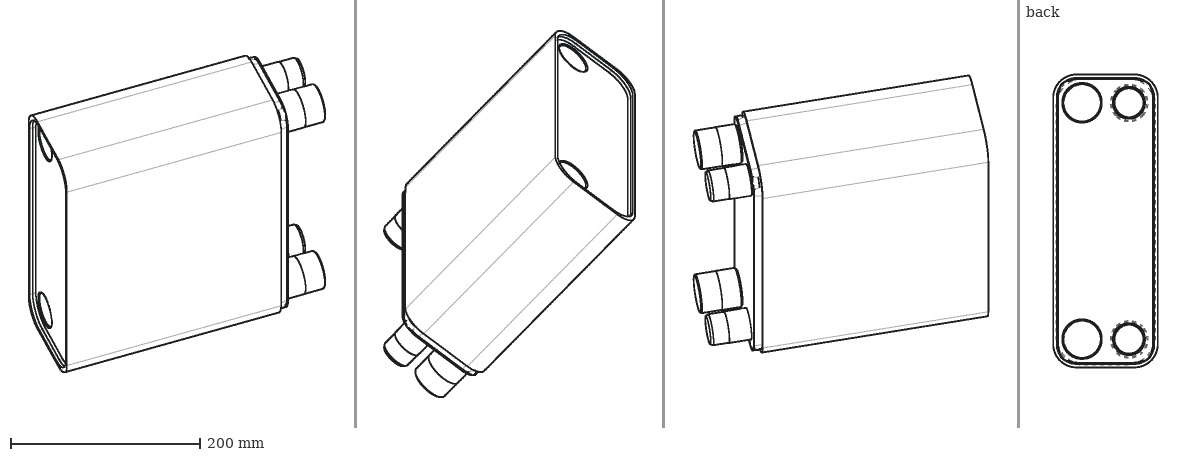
import cadquery as cq

width = 111.0
height = 310.0
housing_depth = 243.5
corner_radius = 25.0

recess_inset = 3.0
recess_radius = 27.5
recess_depth = 9.3
front_cover_setback = 3.5
dish_flare = 1.5
dish_depth = 6.5
dimple_radius = 19.8
dimple_flare = 1.2
dimple_depth = 1.2

back_cover_thickness = 9.3
back_face_y = housing_depth + back_cover_thickness
lip_inset = 3.7
lip_radius = corner_radius - lip_inset
lip_thickness = 1.0
neck_taper_inset = 2.0
pad_setback = 2.2
pad_front_y = housing_depth + pad_setback
pad_front_inset = 6.8
pad_back_inset = 7.0
pad_radius = 9.5

port_x = 24.8
port_z = 125.0
large_port_end_y = 298.0
large_port_shoulder_y = 275.0
large_port_radius = 21.0
large_port_step = 0.15
large_port_end_radius = large_port_radius - large_port_step
large_port_base_chamfer = 2.0
large_port_end_chamfer = 1.2
small_port_end_y = 296.5
small_port_shoulder_y = 276.5
small_port_radius = 17.0
small_port_end_radius = 16.7
small_port_chamfer_radial = 1.5
small_port_chamfer_length = 2.8


def outline(inset, radius):
    """The housing rectangle moved inward by inset, with rounded corners."""
    return cq.Sketch().rect(width - 2 * inset, height - 2 * inset).vertices().fillet(radius)


def slab(inset, radius, start_y, end_y):
    """A straight-sided slab centred on the Y axis, from start_y to end_y."""
    solid = cq.Workplane("XY").placeSketch(outline(inset, radius)).extrude(end_y - start_y)
    return solid.rotate((0, 0, 0), (1, 0, 0), -90).translate((0, start_y, 0))


def tapered_slab(start_outline, start_y, end_outline, end_y):
    """A slab lofted from one outline at start_y to another at end_y."""
    end_location = cq.Location(cq.Vector(0, 0, end_y - start_y))
    solid = cq.Workplane("XY").placeSketch(start_outline, end_outline.moved(end_location)).loft()
    return solid.rotate((0, 0, 0), (1, 0, 0), -90).translate((0, start_y, 0))


def revolved(profile, x, z):
    """Revolve a (radius, y) profile about the line through (x, z) along Y."""
    solid = cq.Workplane("XY").polyline(profile).close().revolve(360, (0, 0, 0), (0, 1, 0))
    return solid.translate((x, 0, z))


def make_housing():
    block = slab(0, corner_radius, 0, housing_depth)
    return block.cut(slab(recess_inset, recess_radius, 0, recess_depth)).solids()


def make_front_cover():
    cover = slab(recess_inset, recess_radius, front_cover_setback, recess_depth)
    dish = tapered_slab(
        outline(recess_inset, recess_radius),
        front_cover_setback,
        outline(recess_inset + dish_flare, recess_radius - dish_flare),
        dish_depth,
    )
    cover = cover.cut(dish)
    dimple_profile = [
        (0, dish_depth),
        (dimple_radius, dish_depth),
        (dimple_radius - dimple_flare, dish_depth + dimple_depth),
        (0, dish_depth + dimple_depth),
    ]
    for z in (-port_z, port_z):
        cover = cover.cut(revolved(dimple_profile, -port_x, z))
    return cover.solids()


def make_back_cover():
    neck = tapered_slab(
        outline(lip_inset, lip_radius),
        housing_depth,
        outline(lip_inset + neck_taper_inset, lip_radius - neck_taper_inset),
        back_face_y,
    )
    corner_pads = tapered_slab(
        outline(pad_front_inset, pad_radius),
        pad_front_y,
        outline(pad_back_inset, pad_radius),
        back_face_y,
    )
    lip = slab(lip_inset, lip_radius, back_face_y - lip_thickness, back_face_y)
    return neck.union(corner_pads).union(lip).solids()


def make_large_port(z):
    profile = [
        (0, back_face_y),
        (large_port_radius - large_port_base_chamfer, back_face_y),
        (large_port_radius, back_face_y + large_port_base_chamfer),
        (large_port_radius, large_port_shoulder_y),
        (large_port_end_radius, large_port_shoulder_y),
        (large_port_end_radius, large_port_end_y - large_port_end_chamfer),
        (large_port_end_radius - large_port_end_chamfer, large_port_end_y),
        (0, large_port_end_y),
    ]
    return revolved(profile, port_x, z)


def make_small_port(z):
    profile = [
        (0, back_face_y),
        (small_port_radius, back_face_y),
        (small_port_radius, small_port_shoulder_y),
        (small_port_end_radius, small_port_shoulder_y),
        (small_port_end_radius, small_port_end_y - small_port_chamfer_length),
        (small_port_end_radius - small_port_chamfer_radial, small_port_end_y),
        (0, small_port_end_y),
    ]
    return revolved(profile, -port_x, z)


housing = make_housing()
front_cover = make_front_cover()
back_cover = make_back_cover()
large_ports = [make_large_port(z).val() for z in (-port_z, port_z)]
small_ports = [make_small_port(z).val() for z in (-port_z, port_z)]

result = cq.Compound.makeCompound(
    [housing.val(), front_cover.val(), back_cover.val(), *large_ports, *small_ports]
)